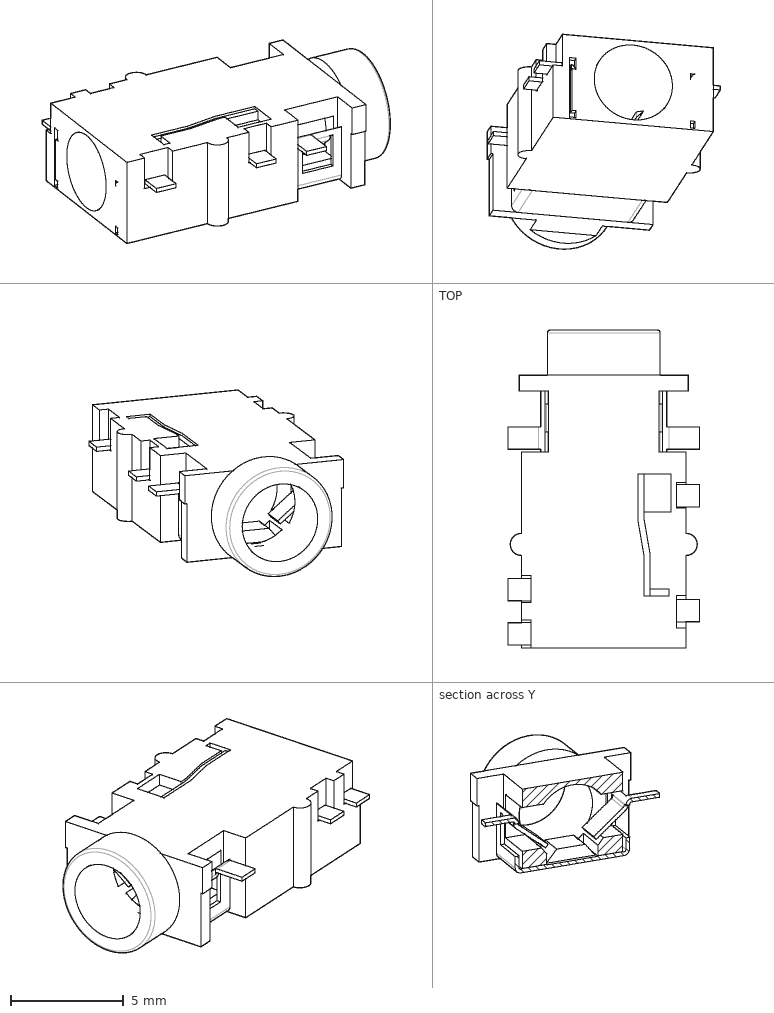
import cadquery as cq
import math


total_length = 14.1
ring_length = 2.0
flange_length = 0.7
body_length = 8.7
ring_start = total_length - ring_length
flange_start = ring_start - flange_length

body_width = 7.3
body_height = 4.0
flange_width = 7.5
neck_width = 4.9
ring_diameter = 5.0
ring_round = 0.13
ring_lip_length = 0.83
bore_diameter = 3.57
half_body = body_width / 2
top = body_height / 2
bottom = -top

ridge_radius = 0.5
ridge_y = 4.6

tab_span = 8.5
tab_width = 1.0
tab_bottom = 0.5
sheet = 0.2
tab_top = tab_bottom + sheet
tab_tip = tab_span / 2
notch_depth = 0.42
LEFT, RIGHT = -1, 1
tab_places = [
    (LEFT, 0.63, 0.0, 1.24),
    (LEFT, 2.6, 2.02, 3.21),
    (RIGHT, 1.66, 0.9, 2.33),
    (RIGHT, 6.75, 6.2, 7.33),
]

recess_depth = 0.54
recess_left = 1.51
recess_end = 7.71
recess_start = 2.31
pad_right = 2.98
pad_start = 6.03
strip_width = 0.28
strip_shift = 0.27
slope_start = 4.13
slope_end = 5.7
foot_right = 2.89
foot_length = 0.31
strip_top = top - 0.11
strip_bottom = 0.69

pocket_depth = 0.3
pocket_inner_x = 2.61
pocket_width = 0.2
slit_outer_x = 2.9
slit_width = 0.11
low_pocket_bottom = -1.92
low_pocket_top = -1.6
wedge_bottom = 0.4
wedge_top = 0.66
wedge_bulge = 0.05
high_pocket_top = 0.92

clip_width = 5.6
bend_radius = 0.1
outer_bend_radius = bend_radius + sheet
clip_outer = clip_width / 2
clip_inner = clip_outer - sheet
lead_y = 9.3
clip_window_y = 10.2
clip_window_length = 1.55
clip_window_bottom = -1.15
clip_window_top = 0.37
tongue_width = 1.23
tongue_bend_radius = 0.17
tongue_bend_angle = 51.2
tongue_straight = 1.83
bump_top = -1.21
bump_top_width = 1.38
bump_base_width = 2.4

neck_floor = bottom + sheet
neck_window_start = 8.9
neck_window_end = 11.18
neck_window_bottom = -0.96
neck_window_top = 1.1
floor_window_width = 2.48


def block(x0, x1, y0, y1, z0, z1):
    """Box between opposite corners; the X limits may come in either order."""
    return (
        cq.Workplane("XY")
        .box(abs(x1 - x0), y1 - y0, z1 - z0, centered=False)
        .translate((min(x0, x1), y0, z0))
    )


def centred_block(width, y0, y1, z0, z1):
    """Box that is symmetric about X = 0."""
    return block(-width / 2, width / 2, y0, y1, z0, z1)


def section(y):
    """Workplane in X and Z at the given Y; a negative extrusion goes toward +Y."""
    return cq.Workplane("XZ", origin=(0, y, 0))


def make_shell():
    """Body, neck, flange and ring with the bore through all of them."""
    body = centred_block(body_width, 0, body_length, bottom, top)
    neck = centred_block(neck_width, body_length, flange_start, neck_floor, top)
    flange = centred_block(body_width, flange_start, ring_start, bottom, top)
    flange_cap = centred_block(flange_width, flange_start, ring_start, tab_top, top)
    ring = section(ring_start).circle(ring_diameter / 2).extrude(-ring_length)
    ring = ring.faces(">Y").fillet(ring_round)
    lip_start = total_length - ring_lip_length
    ring = ring.cut(centred_block(ring_diameter, ring_start, lip_start, -ring_diameter, bottom))
    shell = body.union(neck).union(flange).union(flange_cap).union(ring)
    for side in (LEFT, RIGHT):
        ridge = cq.Workplane("XY", origin=(side * half_body, ridge_y, bottom))
        shell = shell.union(ridge.circle(ridge_radius).extrude(body_height))
    return shell.cut(section(0).circle(bore_diameter / 2).extrude(-total_length))


def cut_neck_windows(shell):
    """Side window through the neck, and a floor window for the clip bump."""
    side_window = centred_block(
        neck_width, neck_window_start, neck_window_end, neck_window_bottom, neck_window_top
    )
    floor_window = centred_block(
        floor_window_width,
        clip_window_y - clip_window_length / 2,
        clip_window_y + clip_window_length / 2,
        neck_floor,
        bump_top,
    )
    return shell.cut(side_window).cut(floor_window)


def add_solder_tabs(shell):
    """Open notches in the side walls, each with a flat tab on its floor."""
    for side, tab_y, notch_start, notch_end in tab_places:
        notch_wall = side * (half_body - notch_depth)
        notch = block(notch_wall, side * half_body, notch_start, notch_end, tab_bottom, top)
        tab_start = tab_y - tab_width / 2
        tab = block(notch_wall, side * tab_tip, tab_start, tab_start + tab_width, tab_bottom, tab_top)
        shell = shell.cut(notch).union(tab)
    return shell


def add_top_contact(shell):
    """Recess in the top face, with a wall-like contact strip standing in it."""
    strip_left = recess_left + strip_shift
    outline = [
        (recess_left, recess_end),
        (recess_left, slope_end),
        (strip_left, slope_start),
        (strip_left, recess_start),
        (strip_left + strip_width, recess_start),
        (strip_left + strip_width, slope_start),
        (recess_left + strip_width, slope_end),
        (recess_left + strip_width, recess_end),
    ]
    floor = top - recess_depth
    pad = block(recess_left, pad_right, pad_start, recess_end, floor, top)
    foot = block(strip_left, foot_right, recess_start, recess_start + foot_length, floor, top)
    groove = cq.Workplane("XY", origin=(0, 0, floor)).polyline(outline).close().extrude(recess_depth)
    strip = cq.Workplane("XY", origin=(0, 0, strip_bottom)).polyline(outline).close()
    return shell.cut(pad).cut(foot).cut(groove).union(strip.extrude(strip_top - strip_bottom))


def cut_end_pockets(shell):
    """Shallow pockets beside the bore: a slit with two ends at the left, two small ones at the right."""
    pocket_outer_x = pocket_inner_x + pocket_width
    slit_inner_x = slit_outer_x - slit_width
    right_low = block(
        pocket_inner_x, pocket_outer_x, 0, pocket_depth, low_pocket_bottom, low_pocket_top
    )
    right_high = (
        section(0)
        .moveTo(pocket_inner_x, wedge_bottom)
        .lineTo(pocket_inner_x, wedge_top)
        .lineTo(pocket_outer_x, wedge_top)
        .sagittaArc((pocket_inner_x, wedge_bottom), -wedge_bulge)
        .close()
        .extrude(-pocket_depth)
    )
    left_low = block(
        -slit_outer_x, -pocket_inner_x, 0, pocket_depth, low_pocket_bottom, low_pocket_top
    )
    left_high = block(-slit_outer_x, -pocket_inner_x, 0, pocket_depth, wedge_bottom, high_pocket_top)
    slit = block(-slit_outer_x, -slit_inner_x, 0, pocket_depth, low_pocket_bottom, high_pocket_top)
    wedge = (
        section(pocket_depth / 2)
        .moveTo(-slit_inner_x, wedge_bottom)
        .lineTo(-slit_inner_x, wedge_top)
        .sagittaArc((-pocket_inner_x, wedge_bottom), wedge_bulge)
        .close()
        .extrude(-pocket_depth / 2)
    )
    for pocket in (right_low, right_high, left_low, left_high, slit):
        shell = shell.cut(pocket)
    return shell.union(wedge)


def make_housing():
    """Plug housing with its solder tabs and top contact."""
    shell = cut_neck_windows(make_shell())
    shell = add_top_contact(shell)
    shell = add_solder_tabs(shell)
    return cut_end_pockets(shell)


def make_clip_half():
    """Right half of the bent strip: floor, wall and outward lead."""
    mid = math.sqrt(0.5)
    low_x = clip_outer - outer_bend_radius
    low_z = bottom + outer_bend_radius
    high_x = clip_outer + bend_radius
    high_z = tab_bottom - bend_radius
    big = outer_bend_radius
    small = bend_radius
    half = (
        section(body_length)
        .moveTo(0, bottom)
        .lineTo(low_x, bottom)
        .threePointArc((low_x + big * mid, low_z - big * mid), (clip_outer, low_z))
        .lineTo(clip_outer, high_z)
        .threePointArc((high_x - small * mid, high_z + small * mid), (high_x, tab_bottom))
        .lineTo(tab_tip, tab_bottom)
        .lineTo(tab_tip, tab_top)
        .lineTo(high_x, tab_top)
        .threePointArc((high_x - big * mid, high_z + big * mid), (clip_inner, high_z))
        .lineTo(clip_inner, low_z)
        .threePointArc((low_x + small * mid, low_z - small * mid), (low_x, neck_floor))
        .lineTo(0, neck_floor)
        .close()
        .extrude(body_length - flange_start)
    )
    lead_start = lead_y - tab_width / 2
    lead_end = lead_start + tab_width
    for y0, y1 in ((body_length, lead_start), (lead_end, flange_start)):
        half = half.cut(block(clip_outer, tab_tip, y0, y1, bottom, tab_top))
    window = block(
        clip_inner,
        clip_outer,
        clip_window_y - clip_window_length / 2,
        clip_window_y + clip_window_length / 2,
        clip_window_bottom,
        clip_window_top,
    )
    return half.cut(window).union(make_tongue())


def make_tongue():
    """Spring tongue that bends from the top edge of the wall window into the bore."""
    centre_x = clip_inner - tongue_bend_radius
    angle = math.radians(tongue_bend_angle)
    outer_radius = tongue_bend_radius + sheet

    def on_bend(radius, turn, beyond=0.0):
        """Point on the bend after a turn, then straight on by a length."""
        x = centre_x + radius * math.cos(turn) - beyond * math.sin(turn)
        z = clip_window_top - radius * math.sin(turn) - beyond * math.cos(turn)
        return (x, z)

    return (
        section(clip_window_y - tongue_width / 2)
        .moveTo(*on_bend(outer_radius, 0))
        .threePointArc(on_bend(outer_radius, angle / 2), on_bend(outer_radius, angle))
        .lineTo(*on_bend(outer_radius, angle, tongue_straight))
        .lineTo(*on_bend(tongue_bend_radius, angle, tongue_straight))
        .lineTo(*on_bend(tongue_bend_radius, angle))
        .threePointArc(on_bend(tongue_bend_radius, angle / 2), on_bend(tongue_bend_radius, 0))
        .close()
        .extrude(-tongue_width)
    )


def make_bump():
    """Raised bump on the clip floor that reaches into the bore."""
    return (
        section(clip_window_y - tongue_width / 2)
        .polyline(
            [
                (-bump_base_width / 2, neck_floor),
                (bump_base_width / 2, neck_floor),
                (bump_top_width / 2, bump_top),
                (-bump_top_width / 2, bump_top),
            ]
        )
        .close()
        .extrude(-tongue_width)
    )


def make_clip():
    """Sheet metal clip: two mirrored halves joined by the floor, plus the bump."""
    half = make_clip_half()
    return half.union(half.mirror("YZ")).union(make_bump())


housing = make_housing()
clip = make_clip()

result = cq.Compound.makeCompound([housing.solids().val(), clip.solids().val()])